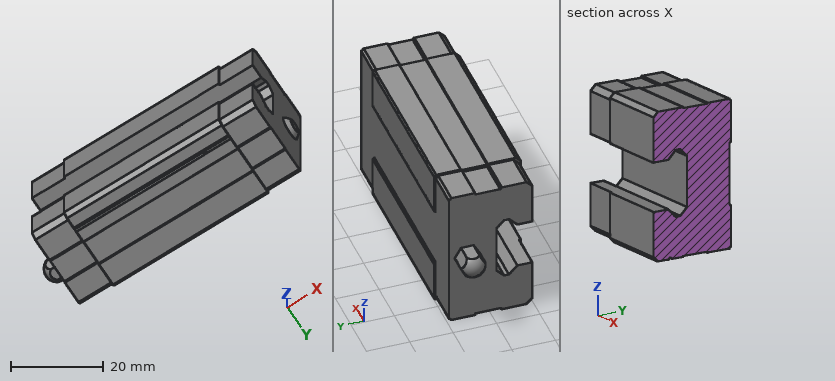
import cadquery as cq
import math

body_length = 40.0
body_depth = 20.0
body_height = 34.0
body_front_chamfer = 1.15
body_back_chamfer = 0.45

cap_inset = 0.4
capped_length = 57.1
cap_depth = body_depth - 2 * cap_inset
cap_height = body_height - 2 * cap_inset
cap_front_chamfer = 1.35
cap_back_chamfer = 0.6

side_recess_step = 0.1
body_recess_depth = 0.2
body_recess_front = 7.65
body_recess_back = 13.9
cap_recess_depth = 0.4
cap_recess_front = 7.4
cap_recess_back = 13.55
cap_recess_front_step = 0.4

back_recess_width = 14.5

nick_width = 1.0
nick_depth = cap_inset
nick_y = 4.4

slot_width = 11.1
slot_depth = 8.6
track_width = 15.05
track_floor_front = 5.8
track_floor_back = 6.9

fitting_y = 15.35
nipple_flats = 5.0
nipple_length = 6.05
nipple_dome_radius = 2.95
knob_length = 1.15
knob_base_diameter = 5.6
knob_tip_diameter = 3.2
knob_bulge_radius = 2.3


def extrude_along_x(points, length):
    """Prism of a (Y, Z) outline, centred on X = 0."""
    return cq.Workplane("YZ").polyline(points).close().extrude(length / 2, both=True)


def chamfered_block(length, depth, height, front_chamfer, back_chamfer):
    """Block centred in the body depth, with its edges along X chamfered."""
    block = cq.Workplane("XY").box(length, depth, height).translate((0, body_depth / 2, 0))
    block = block.faces("<Y").edges("|X").chamfer(front_chamfer)
    return block.faces(">Y").edges("|X").chamfer(back_chamfer)


def cut_side_recesses(block, length, height, depth, front, back, front_step):
    """Cut the same shallow recess into the upper and lower faces."""
    face = height / 2
    floor = face - depth
    recess = extrude_along_x(
        [
            (front, face),
            (front + front_step, floor),
            (back - side_recess_step, floor),
            (back, face),
        ],
        length,
    )
    return block.cut(recess).cut(recess.mirror("XY"))


def make_body():
    body = chamfered_block(
        body_length, body_depth, body_height, body_front_chamfer, body_back_chamfer
    )
    body = cut_side_recesses(
        body, body_length, body_height, body_recess_depth,
        body_recess_front, body_recess_back, side_recess_step,
    )
    half_back = back_recess_width / 2
    back_floor = body_depth - cap_inset
    back_recess = extrude_along_x(
        [
            (body_depth, -half_back),
            (back_floor, cap_inset - half_back),
            (back_floor, half_back - cap_inset),
            (body_depth, half_back),
        ],
        body_length,
    )
    bottom = -body_height / 2
    nick = extrude_along_x(
        [
            (nick_y - nick_width / 2, bottom),
            (nick_y, bottom + nick_depth),
            (nick_y + nick_width / 2, bottom),
        ],
        body_length,
    )
    return body.cut(back_recess).cut(nick)


def make_caps():
    """Full-length core whose two ends form the end caps."""
    core = chamfered_block(
        capped_length, cap_depth, cap_height, cap_front_chamfer, cap_back_chamfer
    )
    return cut_side_recesses(
        core, capped_length, cap_height, cap_recess_depth,
        cap_recess_front, cap_recess_back, cap_recess_front_step,
    )


def make_slot():
    half_slot = slot_width / 2
    half_track = track_width / 2
    front_flank = half_track - half_slot
    back_flank = slot_depth - track_floor_back
    upper = [
        (0, half_slot),
        (track_floor_front - front_flank, half_slot),
        (track_floor_front, half_track),
        (track_floor_back, half_track),
        (slot_depth, half_track - back_flank),
    ]
    lower = [(y, -z) for y, z in reversed(upper)]
    return extrude_along_x(upper + lower, capped_length)


def make_nipple():
    """Hexagonal prism with corners along Y, rounded by a sphere at its tip."""
    corner_diameter = nipple_flats / math.cos(math.pi / 6)
    left_end = -capped_length / 2
    tip = left_end - nipple_length
    dome_centre = tip + nipple_dome_radius
    hexagon = (
        cq.Workplane("YZ", origin=(left_end, fitting_y, 0))
        .polygon(6, corner_diameter)
        .extrude(-nipple_length)
    )
    envelope = (
        cq.Workplane("YZ", origin=(dome_centre, fitting_y, 0))
        .circle(nipple_dome_radius)
        .extrude(left_end - dome_centre)
        .union(cq.Workplane("XY").sphere(nipple_dome_radius).translate((dome_centre, fitting_y, 0)))
    )
    return hexagon.intersect(envelope)


def make_knob():
    """Low flat-tipped dome turned about X."""
    return (
        cq.Workplane("XY", origin=(capped_length / 2, fitting_y, 0))
        .lineTo(0, knob_base_diameter / 2)
        .threePointArc(
            (knob_length / 2, knob_bulge_radius),
            (knob_length, knob_tip_diameter / 2),
        )
        .lineTo(knob_length, 0)
        .close()
        .revolve(360, (0, 0, 0), (1, 0, 0))
    )


result = make_caps().union(make_body()).cut(make_slot()).union(make_nipple()).union(make_knob())